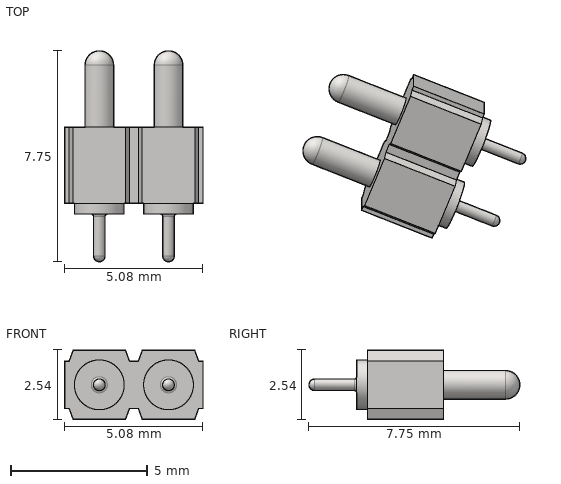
import cadquery as cq
import math

pitch = 2.54
position_count = 2

housing_length = 2.8
housing_width = pitch * position_count
housing_height = pitch
notch_depth = 0.4
notch_floor_half_width = 0.16
notch_flank_angle = 20.0

contact_radius = 0.53
contact_projection = 2.8
flange_radius = 0.915
flange_thickness = 0.4
tail_radius = 0.215
tail_length = 1.75
tail_root_fillet = 0.08

housing_front_y = -housing_length / 2
housing_back_y = housing_length / 2
flange_front_y = housing_front_y - flange_thickness
tail_tip_y = flange_front_y - tail_length
contact_tip_y = housing_back_y + contact_projection
notch_mouth_half_width = (
    notch_floor_half_width + notch_depth * math.tan(math.radians(notch_flank_angle))
)
pin_xs = [(i - (position_count - 1) / 2) * pitch for i in range(position_count)]
notch_xs = [i * pitch - housing_width / 2 for i in range(position_count + 1)]


def make_notch(x, side):
    """Tapered groove along the housing; side is +1 for the top face, -1 for the bottom."""
    face_z = side * housing_height / 2
    floor_z = face_z - side * notch_depth
    return (
        cq.Workplane("XZ", origin=(x, housing_back_y, 0))
        .moveTo(-notch_mouth_half_width, face_z)
        .lineTo(-notch_floor_half_width, floor_z)
        .lineTo(notch_floor_half_width, floor_z)
        .lineTo(notch_mouth_half_width, face_z)
        .close()
        .extrude(housing_length)
    )


def make_housing():
    """Block with grooves between and outside the positions, and a through bore per pin."""
    block = cq.Workplane("XY").box(housing_width, housing_length, housing_height)
    for x in notch_xs:
        for side in (1, -1):
            block = block.cut(make_notch(x, side))
    for x in pin_xs:
        bore = (
            cq.Workplane("XZ", origin=(x, housing_back_y, 0))
            .circle(contact_radius)
            .extrude(housing_length)
        )
        block = block.cut(bore)
    return block


def make_pin(x):
    """Round-ended pin whose flange rests on the front of the housing."""
    diagonal = math.sqrt(0.5)
    tail_dome_y = tail_tip_y + tail_radius
    contact_dome_y = contact_tip_y - contact_radius
    fillet_centre_r = tail_radius + tail_root_fillet
    fillet_centre_y = flange_front_y - tail_root_fillet
    half_profile = (
        cq.Workplane("XY")
        .moveTo(0, tail_tip_y)
        .threePointArc(
            (tail_radius * diagonal, tail_dome_y - tail_radius * diagonal),
            (tail_radius, tail_dome_y),
        )
        .lineTo(tail_radius, fillet_centre_y)
        .threePointArc(
            (
                fillet_centre_r - tail_root_fillet * diagonal,
                fillet_centre_y + tail_root_fillet * diagonal,
            ),
            (fillet_centre_r, flange_front_y),
        )
        .lineTo(flange_radius, flange_front_y)
        .lineTo(flange_radius, housing_front_y)
        .lineTo(contact_radius, housing_front_y)
        .lineTo(contact_radius, contact_dome_y)
        .threePointArc(
            (contact_radius * diagonal, contact_dome_y + contact_radius * diagonal),
            (0, contact_tip_y),
        )
        .close()
    )
    return half_profile.revolve(360, (0, 0, 0), (0, 1, 0)).translate((x, 0, 0))


housing = make_housing()
pins = [make_pin(x) for x in pin_xs]

result = cq.Compound.makeCompound([housing.val(), *[pin.val() for pin in pins]])